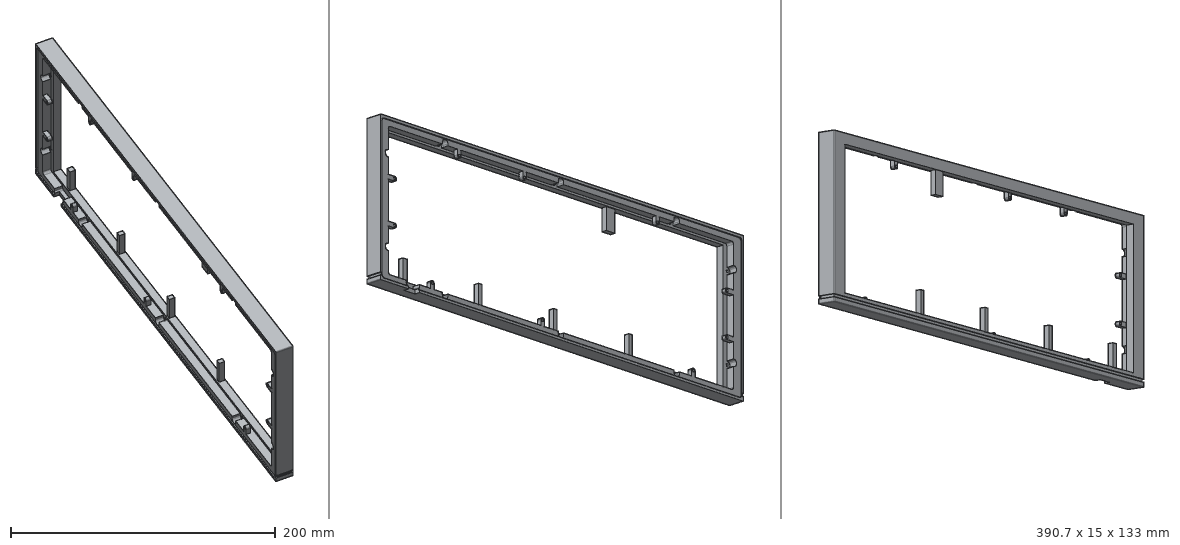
import cadquery as cq

LENGTH = 390.7
DEPTH = 15.0
HEIGHT = 133.0
EDGE_ROUND = 0.6

RIM_SIDE = 1.75
RIM_TOP = 2.5
RIM_DEPTH = 1.0
RIM_CORNER_RADIUS = 2.5

WINDOW_SIDE = 9.8
WINDOW_TOP = 7.0
WINDOW_CORNER_RADIUS = 2.0
OPENING_SIDE = 13.5
OPENING_TOP = 9.0
LIP_THICKNESS = 6.5

GROOVE_BOTTOM = 4.0
GROOVE_WIDTH = 2.5
GROOVE_DEPTH = 1.0

POCKET_RADIUS = 2.95
PILOT_RADIUS = 0.98
PILOT_DEPTH = 4.0
POCKET_X = 124.5
POCKET_Z = 37.5
POCKET_INSET_TOP = 5.5
POCKET_INSET_SIDE = 9.5

LUG_WIDTH = 4.0
LUG_THICKNESS = 4.0
LUG_OVERHANG = 4.5
LUG_HOLE_RADIUS = 0.98
TOP_LUGS_X = (-109.5, -39.0, 104.5)
BOTTOM_LUGS_X = (-138.5, -19.5, 142.5)
SIDE_LUG_Z = 18.8

POST_END_Z = 38.3
POST_THICKNESS = 4.5
POST_SETBACK = 1.0
POST_WIDTH = 4.0
FIRST_POST_WIDTH = 4.5
POST_PITCH = 81.0
FIRST_POST_X = -159.5
POST_COUNT = 4
PLATE_WIDTH = 9.5
PLATE_X = 61.7

NOTCH_X = FIRST_POST_X
NOTCH_WIDTH = 14.0
NOTCH_FLOOR = 3.5
NOTCH_MOUTH_WIDTH = 11.7
NOTCH_MOUTH_DEPTH = 4.5
NOTCH_CORNER_RADIUS = 1.0

FRONT = -DEPTH / 2
BACK = DEPTH / 2
FACE = FRONT + RIM_DEPTH
LEDGE = BACK - LIP_THICKNESS
BOTTOM = -HEIGHT / 2
WINDOW_X = LENGTH / 2 - WINDOW_SIDE
WINDOW_Z = HEIGHT / 2 - WINDOW_TOP
OPENING_X = LENGTH / 2 - OPENING_SIDE
OPENING_Z = HEIGHT / 2 - OPENING_TOP


def box(x0, x1, y0, y1, z0, z1):
    """Box between two opposite corners."""
    return cq.Workplane("XY").box(x1 - x0, y1 - y0, z1 - z0, centered=False).translate((x0, y0, z0))


def centred_block(half_x, half_z, y0, y1):
    """Block centred on the frame axis, from y0 to y1."""
    return box(-half_x, half_x, y0, y1, -half_z, half_z)


def cylinder(x, z, radius, y0, y1):
    """Cylinder along Y, from y0 to y1."""
    return cq.Workplane("XZ", origin=(x, y0, z)).circle(radius).extrude(y0 - y1)


def frame():
    """Rounded bar frame with a raised front rim, a window and a lip behind it."""
    body = centred_block(LENGTH / 2, HEIGHT / 2, FRONT, BACK)
    body = body.edges("|Y or >Y").fillet(EDGE_ROUND)
    recess = centred_block(LENGTH / 2 - RIM_SIDE, HEIGHT / 2 - RIM_TOP, FRONT, FACE)
    recess = recess.edges("|Y").fillet(RIM_CORNER_RADIUS)
    window = centred_block(WINDOW_X, WINDOW_Z, FRONT, LEDGE)
    window = window.edges("|Y").fillet(WINDOW_CORNER_RADIUS)
    opening = centred_block(OPENING_X, OPENING_Z, FRONT, BACK)
    return body.cut(recess).cut(window).cut(opening)


def groove():
    """Strip removed from both ends and the back."""
    z0 = BOTTOM + GROOVE_BOTTOM
    z1 = z0 + GROOVE_WIDTH
    strip = box(-LENGTH / 2, LENGTH / 2, FRONT, BACK, z0, z1)
    core_x = LENGTH / 2 - GROOVE_DEPTH
    return strip.cut(box(-core_x, core_x, FRONT, BACK - GROOVE_DEPTH, z0, z1))


def pocket(x, z, toward_x=0, toward_z=0):
    """Round-ended pocket open toward the window, with its pilot hole."""
    round_end = cylinder(x, z, POCKET_RADIUS, FRONT, LEDGE)
    mouth = centred_block(POCKET_RADIUS, POCKET_RADIUS, FRONT, LEDGE)
    mouth = mouth.translate((x + toward_x * POCKET_RADIUS, 0, z + toward_z * POCKET_RADIUS))
    pilot = cylinder(x, z, PILOT_RADIUS, LEDGE, LEDGE + PILOT_DEPTH)
    return round_end.union(mouth).union(pilot)


def lug(wall_distance, opening_distance):
    """Round-ended lug pointing toward +X, with its hole; it starts at the window wall."""
    tip = LUG_WIDTH / 2
    centre = wall_distance - opening_distance + LUG_OVERHANG - tip
    y1 = FACE + LUG_THICKNESS
    body = box(0, centre, FACE, y1, -tip, tip).union(cylinder(centre, 0, tip, FACE, y1))
    return body.cut(cylinder(centre, 0, LUG_HOLE_RADIUS, FACE, y1))


def post(x, width, z0, z1):
    """Square-ended post standing on the lip."""
    y0 = LEDGE + POST_SETBACK
    return box(x - width / 2, x + width / 2, y0, y0 + POST_THICKNESS, z0, z1)


def cable_notch():
    """Notch in the lower wall, with a narrower mouth through the underside."""
    half = NOTCH_WIDTH / 2
    mouth_half = NOTCH_MOUTH_WIDTH / 2
    floor = BOTTOM + NOTCH_FLOOR
    notch = box(NOTCH_X - half, NOTCH_X + half, FRONT, LEDGE, floor, -WINDOW_Z)
    notch = notch.edges("|Y and <Z").fillet(NOTCH_CORNER_RADIUS)
    mouth_back = FRONT + NOTCH_MOUTH_DEPTH
    mouth = box(NOTCH_X - mouth_half, NOTCH_X + mouth_half, FRONT, mouth_back, BOTTOM, floor)
    return notch.union(mouth)


result = frame().cut(groove()).cut(cable_notch())

for side in (-1, 1):
    for x in (-POCKET_X, 0, POCKET_X):
        result = result.cut(pocket(x, side * (HEIGHT / 2 - POCKET_INSET_TOP), toward_z=-side))
    for z in (-POCKET_Z, POCKET_Z):
        result = result.cut(pocket(side * (LENGTH / 2 - POCKET_INSET_SIDE), z, toward_x=-side))

side_lug = lug(WINDOW_X, OPENING_X)
for z in (-SIDE_LUG_Z, SIDE_LUG_Z):
    result = result.union(side_lug.translate((-WINDOW_X, 0, z)))
    result = result.union(side_lug.mirror("YZ").translate((WINDOW_X, 0, z)))

rising_lug = lug(WINDOW_Z, OPENING_Z).rotate((0, 0, 0), (0, 1, 0), -90)
for x in BOTTOM_LUGS_X:
    result = result.union(rising_lug.translate((x, 0, -WINDOW_Z)))
for x in TOP_LUGS_X:
    result = result.union(rising_lug.mirror("XY").translate((x, 0, WINDOW_Z)))

for index in range(POST_COUNT):
    width = FIRST_POST_WIDTH if index == 0 else POST_WIDTH
    result = result.union(post(FIRST_POST_X + index * POST_PITCH, width, -OPENING_Z, -POST_END_Z))
result = result.union(post(PLATE_X, PLATE_WIDTH, POST_END_Z, OPENING_Z))